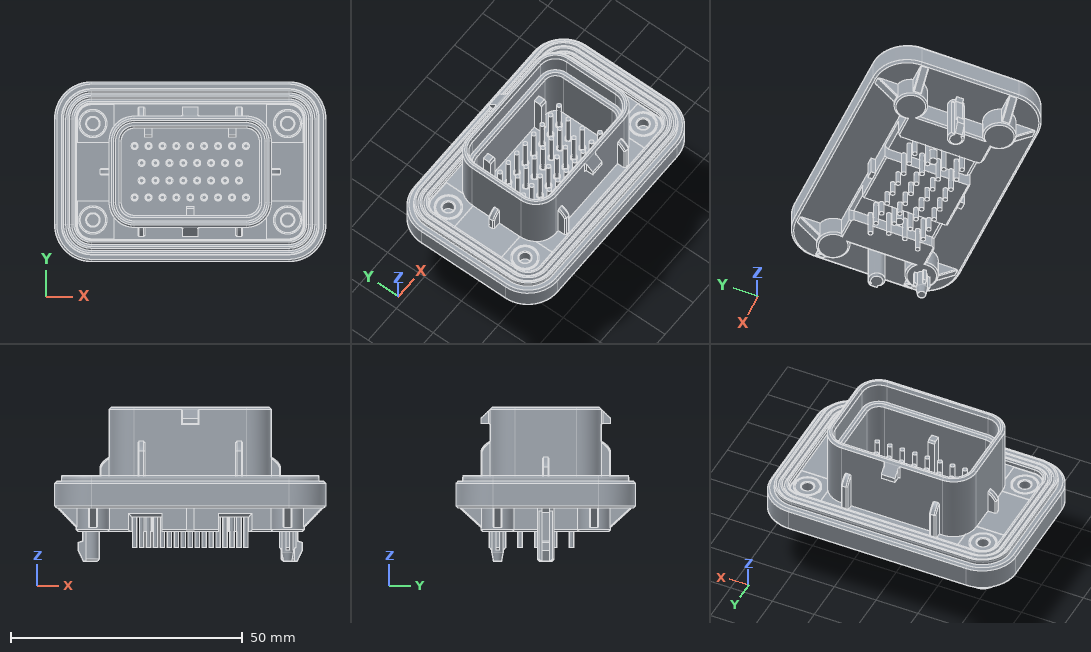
import cadquery as cq
import math

flange_half_x = 29.28
flange_half_y = 19.4
flange_corner_radius = 8.0
flange_top = 5.8
flange_chamfer = 0.5
recess_floor = 5.5
corner_pad_top = 5.6
corner_center_x = flange_half_x - flange_corner_radius
corner_center_y = flange_half_y - flange_corner_radius

seal_outer_inset = 1.48
seal_top = 7.0
seal_edge_drop = 0.5
seal_edge_width = 0.1
ridge_count = 3
ridge_pitch = 1.31
ridge_crest = 0.36
ridge_depth = 0.45
seal_inner_inset = 4.78

shroud_half_x = 17.5
shroud_half_y = 12.0
shroud_corner_radius = 5.4
shroud_top = 21.8
shroud_chamfer = 0.5
rim_inset = 0.95
mouth_inset = 1.4
mouth_chamfer_depth = 0.8
ledge_drop = 5.45
ledge_inset = 2.1
well_inset = 2.6
ledge_chamfer_depth = 0.5
well_floor = 1.0

rib_width = 1.5
rib_depth = 2.0
rib_corner_drop = 2.1
rib_bulge = 0.25
rib_edge_chamfer = 0.3
side_rib_x = 10.55
side_rib_top = 14.45
end_rib_top = 11.0
latch_width = 3.25
latch_depth = 2.0
latch_bottom = 18.25
latch_lip_top = 19.35
latch_foot_width = 3.86
latch_foot_depth = 0.35
latch_foot_bottom = 18.05
key_width = 1.6
key_length = 1.95
key_top = 12.2
key_chamfer = 0.45
key_pair_x = 9.05

pin_pitch = 3.0
pin_diameter = 1.0
pin_top = 9.2
pin_bottom = -8.5
pin_seat_diameter = 1.5
pin_seat_depth = 0.3
outer_row_y = 5.55
inner_row_y = 1.9
outer_row_count = 9
inner_row_count = 8

boss_x = 21.0
boss_y = 10.4
boss_diameter = 7.2
boss_bottom = -5.05
boss_chamfer = 0.4
groove_outer_diameter = 6.1
groove_inner_diameter = 5.5
groove_depth = 0.3
corner_hole_diameter = 2.7
corner_hole_depth = 3.0
corner_hole_chamfer = 0.2
pad_inner_x = 16.4
pad_inner_y = 6.35
pad_gap = 0.15
gusset_width = 1.9
gusset_chamfer = 0.2
gusset_tip_x = 28.6
gusset_tip_y = 18.5
gusset_foot = -4.15

block_half_x = 19.0
block_half_y = 10.0
block_chamfer = 0.4
block_rib_width = 1.7
block_rib_depth = 1.0
block_rib_bottom = -4.7
notch_outer_x = 13.35
notch_inner_x = 6.05
notch_top = -1.15
notch_flare = 0.8
notch_flare_depth = 0.8
post_diameter = 1.8
post_x = 9.1

peg_x = 21.4
peg_diameter = 3.65
peg_bottom = -11.5
peg_chamfer = 0.5
peg_flat_offset = 1.1
peg_flat_top = -0.6
strip_root_depth = 0.9
strip_root_reach = 0.6
hook_width = 1.6
hook_reach = 2.8
hook_top = -7.1
hook_shoulder = -7.4
hook_slope_top = -9.1
hook_tip_reach = 1.65

locator_diameter = 2.5
locator_taper_top = -9.55
locator_tip_diameter = 1.8
fin_reach = 1.8
fin_width = 0.75
fin_shoulder = -8.45
fin_bottom = -9.05

overlap = 0.5


def rounded_block(half_x, half_y, radius, bottom, height, taper=0):
    """Upright block with rounded corners; a positive taper narrows it upwards."""
    outline = cq.Sketch().rect(2 * half_x, 2 * half_y).vertices().fillet(radius)
    return cq.Workplane("XY", origin=(0, 0, bottom)).placeSketch(outline).extrude(height, taper=taper)


def box_between(x0, x1, y0, y1, z0, z1):
    return cq.Workplane("XY").box(x1 - x0, y1 - y0, z1 - z0, centered=False).translate((x0, y0, z0))


def rod(diameter, x, y, bottom, top):
    return cq.Workplane("XY", origin=(x, y, bottom)).circle(diameter / 2).extrude(top - bottom)


def plate(outline, width):
    """Plate of the given (reach, Z) outline, centred on Y = 0."""
    return cq.Workplane("XZ").polyline(outline).close().extrude(width / 2, both=True)


def turned(body, angle):
    return body.rotate((0, 0, 0), (0, 0, 1), angle)


def flange():
    body = rounded_block(flange_half_x, flange_half_y, flange_corner_radius, 0, flange_top)
    body = body.faces("|Z").edges().chamfer(flange_chamfer)
    recess = rounded_block(
        flange_half_x - seal_inner_inset,
        flange_half_y - seal_inner_inset,
        flange_corner_radius - seal_inner_inset,
        recess_floor,
        seal_top,
    )
    return body.cut(recess)


def seal():
    """Ring with flat-topped ridges, swept around the flange."""
    rim = flange_half_x
    outer = rim - seal_outer_inset
    inner = rim - seal_inner_inset
    first_crest = outer - seal_edge_width
    profile = [(outer, recess_floor), (outer, seal_top - seal_edge_drop)]
    for ridge in range(ridge_count):
        crest_start = first_crest - ridge * ridge_pitch
        crest_end = crest_start - ridge_crest
        next_start = crest_start - ridge_pitch
        profile += [(crest_start, seal_top), (crest_end, seal_top)]
        if ridge < ridge_count - 1:
            profile.append(((crest_end + next_start) / 2, seal_top - ridge_depth))
    profile += [(inner, seal_top - ridge_depth), (inner, recess_floor)]

    diagonal = flange_corner_radius * math.sqrt(0.5)
    cx, cy = corner_center_x, corner_center_y
    x, y = flange_half_x, flange_half_y
    path = (
        cq.Workplane("XY", origin=(0, 0, recess_floor))
        .moveTo(x, 0)
        .lineTo(x, cy)
        .threePointArc((cx + diagonal, cy + diagonal), (cx, y))
        .lineTo(0, y)
        .lineTo(-cx, y)
        .threePointArc((-cx - diagonal, cy + diagonal), (-x, cy))
        .lineTo(-x, 0)
        .lineTo(-x, -cy)
        .threePointArc((-cx - diagonal, -cy - diagonal), (-cx, -y))
        .lineTo(0, -y)
        .lineTo(cx, -y)
        .threePointArc((cx + diagonal, -cy - diagonal), (x, -cy))
        .close()
    )
    return cq.Workplane("XZ").polyline(profile).close().sweep(path)


def shroud():
    body = rounded_block(shroud_half_x, shroud_half_y, shroud_corner_radius, 0, shroud_top)
    return body.faces(">Z").edges().chamfer(shroud_chamfer)


def shroud_cavity():
    """Wide mouth above a ledge, and the narrower pin well below it."""
    ledge = shroud_top - ledge_drop
    levels = [
        (shroud_top, shroud_top - mouth_chamfer_depth, rim_inset, mouth_inset),
        (shroud_top - mouth_chamfer_depth, ledge, mouth_inset, mouth_inset),
        (ledge, ledge - ledge_chamfer_depth, ledge_inset, well_inset),
        (ledge - ledge_chamfer_depth, well_floor, well_inset, well_inset),
    ]
    cavity = cq.Workplane("XY")
    for top, bottom, top_inset, bottom_inset in levels:
        height = top - bottom
        flare = math.degrees(math.atan2(bottom_inset - top_inset, height))
        cavity = cavity.union(
            rounded_block(
                shroud_half_x - bottom_inset,
                shroud_half_y - bottom_inset,
                shroud_corner_radius - bottom_inset,
                bottom,
                height,
                -flare,
            )
        )
    return cavity


def shroud_rib(wall, top):
    """Rib standing on the flange against a wall at the given reach along +X."""
    tip = wall + rib_depth
    shoulder = top - rib_corner_drop
    bend = rib_bulge * math.sqrt(0.5)
    bend_point = ((wall + tip) / 2 + bend, (top + shoulder) / 2 + bend)
    body = (
        cq.Workplane("XZ")
        .moveTo(wall - overlap, recess_floor - overlap)
        .lineTo(tip, recess_floor - overlap)
        .lineTo(tip, shoulder)
        .threePointArc(bend_point, (wall, top))
        .lineTo(wall - overlap, top)
        .close()
        .extrude(rib_width / 2, both=True)
    )
    return body.edges("%CIRCLE or (|Z and >X)").chamfer(rib_edge_chamfer)


def shroud_ribs():
    end_rib = shroud_rib(shroud_half_x, end_rib_top)
    side_rib = turned(shroud_rib(shroud_half_y, side_rib_top), 90)
    ribs = end_rib.union(turned(end_rib, 180))
    for x in (-side_rib_x, side_rib_x):
        ribs = ribs.union(side_rib.translate((x, 0, 0)))
        ribs = ribs.union(turned(side_rib, 180).translate((x, 0, 0)))
    return ribs


def latch():
    """Wedge-shaped latch nose with a flared foot, on a wall facing +X."""
    wall = shroud_half_y
    tip = wall + latch_depth
    slope_top = shroud_top - shroud_chamfer

    def wedge(bottom, width):
        outline = [
            (wall - overlap, bottom),
            (tip, bottom),
            (tip, latch_lip_top),
            (wall, slope_top),
            (wall - overlap, slope_top),
        ]
        return plate(outline, width)

    flare = (latch_foot_width - latch_width) / 2
    foot_height = shroud_top - latch_foot_bottom
    foot = (
        cq.Workplane("YZ", origin=(wall, 0, latch_foot_bottom + foot_height / 2))
        .rect(latch_foot_width, foot_height)
        .extrude(latch_foot_depth, taper=math.degrees(math.atan2(flare, latch_foot_depth)))
    )
    foot = foot.intersect(wedge(latch_foot_bottom, latch_foot_width))
    return wedge(latch_bottom, latch_width).union(foot)


def latches():
    return turned(latch(), 90).union(turned(latch(), -90))


def keys():
    """Polarising keys on the inner walls of the well."""
    wall = shroud_half_y - well_inset
    half = key_width / 2
    body = box_between(wall - key_length, wall + overlap, -half, half, well_floor - overlap, key_top)
    key = body.faces("<X").edges(">Z").chamfer(key_chamfer)
    placed = turned(key, -90)
    for x in (-key_pair_x, key_pair_x):
        placed = placed.union(turned(key, 90).translate((x, 0, 0)))
    return placed


def pin_points():
    rows = [
        (outer_row_y, outer_row_count),
        (inner_row_y, inner_row_count),
        (-inner_row_y, inner_row_count),
        (-outer_row_y, outer_row_count),
    ]
    points = []
    for y, count in rows:
        for index in range(count):
            points.append(((index - (count - 1) / 2) * pin_pitch, y))
    return points


def pin_seats():
    seats = cq.Workplane("XY", origin=(0, 0, well_floor)).pushPoints(pin_points())
    return seats.circle(pin_seat_diameter / 2).extrude(-pin_seat_depth)


def pins():
    ends = cq.Workplane("XY", origin=(0, 0, pin_bottom)).pushPoints(pin_points())
    return ends.circle(pin_diameter / 2).extrude(pin_top - pin_bottom)


def corner_points():
    return [(sx * boss_x, sy * boss_y) for sx in (-1, 1) for sy in (-1, 1)]


def gusset(reach):
    """Triangular gusset along +X, from the boss axis out under the flange."""
    outline = [
        (0, overlap),
        (reach + overlap, overlap),
        (reach, 0),
        (boss_diameter / 2, gusset_foot),
        (0, gusset_foot),
    ]
    body = plate(outline, gusset_width)
    middle_x = (reach + boss_diameter / 2) / 2
    for side in (-gusset_width / 2, gusset_width / 2):
        slanted = cq.selectors.NearestToPointSelector((middle_x, side, gusset_foot / 2))
        body = body.edges(slanted).chamfer(gusset_chamfer)
    return body


def bosses():
    """Corner bosses with their outward gussets."""
    gusset_x = gusset(gusset_tip_x - boss_x)
    gusset_y = gusset(gusset_tip_y - boss_y)
    body = cq.Workplane("XY")
    for x, y in corner_points():
        boss = rod(boss_diameter, x, y, boss_bottom, overlap)
        boss = boss.faces("<Z").edges().chamfer(boss_chamfer)
        along_x = turned(gusset_x, 0 if x > 0 else 180).translate((x, y, 0))
        along_y = turned(gusset_y, 90 if y > 0 else -90).translate((x, y, 0))
        body = body.union(boss).union(along_x).union(along_y)
    return body


def corner_pads():
    """Low pads in the corners of the recess, just clear of the seal."""
    pad_inset = seal_inner_inset + pad_gap
    outer_x = flange_half_x - pad_inset
    outer_y = flange_half_y - pad_inset
    outline = rounded_block(outer_x, outer_y, flange_corner_radius - pad_inset, 0, corner_pad_top)
    long_gap = box_between(-outer_x, outer_x, -pad_inner_y, pad_inner_y, 0, flange_top)
    cross_gap = box_between(-pad_inner_x, pad_inner_x, -outer_y, outer_y, 0, flange_top)
    return outline.cut(long_gap).cut(cross_gap)


def corner_grooves():
    """Ring grooves around the corner holes."""
    rings = cq.Workplane("XY", origin=(0, 0, corner_pad_top)).pushPoints(corner_points())
    rings = rings.circle(groove_outer_diameter / 2).circle(groove_inner_diameter / 2)
    return rings.extrude(-groove_depth)


def corner_holes():
    top = corner_pad_top
    body = cq.Workplane("XY")
    for x, y in corner_points():
        hole = rod(corner_hole_diameter, x, y, top - corner_hole_depth, top)
        sink = cq.Solid.makeCone(
            corner_hole_diameter / 2,
            corner_hole_diameter / 2 + corner_hole_chamfer,
            corner_hole_chamfer,
            pnt=cq.Vector(x, y, top - corner_hole_chamfer),
        )
        body = body.union(hole).union(cq.Workplane(sink))
    return body


def notch():
    """Pin opening through the block at -X, flared at both side faces."""
    side = -notch_outer_x + notch_flare
    ceiling = notch_top - notch_flare

    def opening(workplane, flare):
        return workplane.polyline(
            [
                (side - flare, boss_bottom - overlap),
                (side - flare, ceiling + flare),
                (-notch_inner_x, ceiling + flare),
                (-notch_inner_x, boss_bottom - overlap),
            ]
        ).close()

    front = cq.Workplane("XZ", origin=(0, -block_half_y, 0))
    through = opening(front, 0).extrude(-2 * block_half_y)
    mouth = opening(front, notch_flare).workplane(offset=-notch_flare_depth)
    flared = opening(mouth, 0).loft(ruled=True)
    return through.union(flared).union(flared.mirror("XZ"))


def block():
    body = box_between(-block_half_x, block_half_x, -block_half_y, block_half_y, boss_bottom, overlap)
    body = body.faces("<Z").edges().chamfer(block_chamfer)
    body = body.cut(notch()).cut(notch().mirror("YZ"))
    rib_end = block_half_y + block_rib_depth
    half_rib = block_rib_width / 2
    body = body.union(box_between(-half_rib, half_rib, -rib_end, rib_end, block_rib_bottom, overlap))
    for x in (-post_x, post_x):
        body = body.union(rod(post_diameter, x, 0, boss_bottom, overlap))
    return body


def snap_peg():
    """Peg at +X: a flatted cylinder whose central strip carries the hook."""
    radius = peg_diameter / 2
    body = rod(peg_diameter, 0, 0, peg_bottom, overlap).faces("<Z").edges().chamfer(peg_chamfer)
    flat = box_between(peg_flat_offset, peg_diameter, -radius, radius, peg_bottom, peg_flat_top)
    strip = [
        (0, overlap),
        (radius + strip_root_reach, overlap),
        (radius + strip_root_reach, 0),
        (radius, -strip_root_depth),
        (radius, hook_top),
        (hook_reach, hook_shoulder),
        (hook_reach, hook_slope_top),
        (hook_tip_reach, peg_bottom),
        (0, peg_bottom),
    ]
    return body.cut(flat).union(plate(strip, hook_width)).translate((peg_x, 0, 0))


def locator():
    """Four-finned pin with a tapered tip."""
    tip_radius = locator_tip_diameter / 2
    radius = locator_diameter / 2
    half_section = [
        (0, peg_bottom),
        (tip_radius, peg_bottom),
        (radius, locator_taper_top),
        (radius, 0),
        (0, 0),
    ]
    core = cq.Workplane("XZ").polyline(half_section).close().revolve(360, (0, 0), (0, 1))
    fin = [
        (-fin_reach, 0),
        (-fin_reach, fin_shoulder),
        (-radius, fin_bottom),
        (radius, fin_bottom),
        (fin_reach, fin_shoulder),
        (fin_reach, 0),
    ]
    fins = plate(fin, fin_width)
    return core.union(fins).union(turned(fins, 90)).translate((boss_x, -boss_y, 0))


result = flange().union(corner_pads()).union(bosses()).union(block())
result = result.union(shroud()).union(shroud_ribs()).union(latches()).cut(shroud_cavity())
result = result.union(keys()).cut(pin_seats()).union(pins())
result = result.union(seal()).cut(corner_grooves()).cut(corner_holes())
result = result.union(snap_peg()).union(turned(snap_peg(), 180)).union(locator())